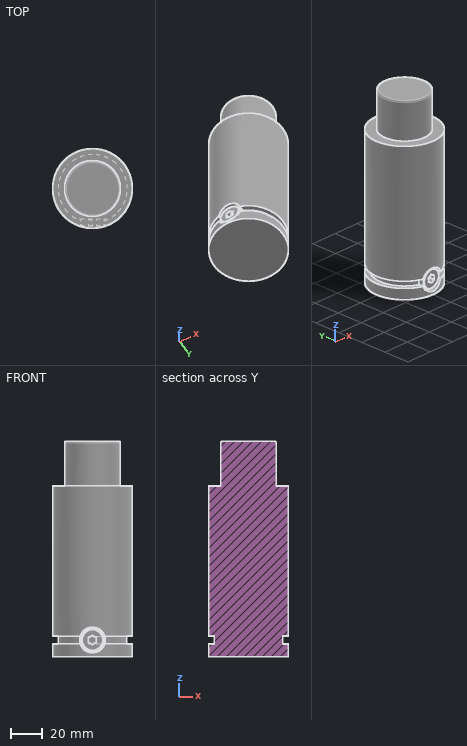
import cadquery as cq
import math

body_diameter = 50.0
rod_diameter = 35.0
total_height = 135.0
rod_length = 28.0
body_height = total_height - rod_length
rod_edge_radius = 1.0

groove_diameter = 43.0
groove_bottom = 8.0
groove_width = 5.0

port_height = groove_bottom + groove_width / 2
port_diameter = 16.0
port_floor_radius = 19.0
plug_diameter = 14.0
plug_face_radius = 23.5
plug_chamfer = 0.5
socket_sides = 6
socket_across_flats = 5.0
socket_depth = 4.0


def port_plane(radial_distance):
    """Sketch plane facing -Y, on the port axis at the given distance from the body axis."""
    return cq.Workplane("XZ", origin=(0, -radial_distance, port_height))


def make_body():
    body = cq.Workplane("XY").circle(body_diameter / 2).extrude(body_height)
    rod = (
        cq.Workplane("XY", origin=(0, 0, body_height))
        .circle(rod_diameter / 2)
        .extrude(rod_length)
        .faces(">Z")
        .fillet(rod_edge_radius)
    )
    return body.union(rod)


def make_groove():
    return (
        cq.Workplane("XY", origin=(0, 0, groove_bottom))
        .circle(body_diameter / 2)
        .circle(groove_diameter / 2)
        .extrude(groove_width)
    )


def make_port_pocket():
    pocket_depth = body_diameter / 2 - port_floor_radius
    return port_plane(port_floor_radius).circle(port_diameter / 2).extrude(pocket_depth)


def make_hex_socket():
    corner_radius = socket_across_flats / (2 * math.cos(math.pi / socket_sides))
    corners = []
    for index in range(socket_sides):
        angle = 2 * math.pi * index / socket_sides
        corners.append((corner_radius * math.sin(angle), corner_radius * math.cos(angle)))
    return port_plane(plug_face_radius).polyline(corners).close().extrude(-socket_depth)


def make_plug():
    plug_length = plug_face_radius - port_floor_radius
    plug = (
        port_plane(port_floor_radius)
        .circle(plug_diameter / 2)
        .extrude(plug_length)
        .faces("<Y")
        .chamfer(plug_chamfer)
    )
    return plug.cut(make_hex_socket())


result = make_body().cut(make_groove()).cut(make_port_pocket()).union(make_plug())